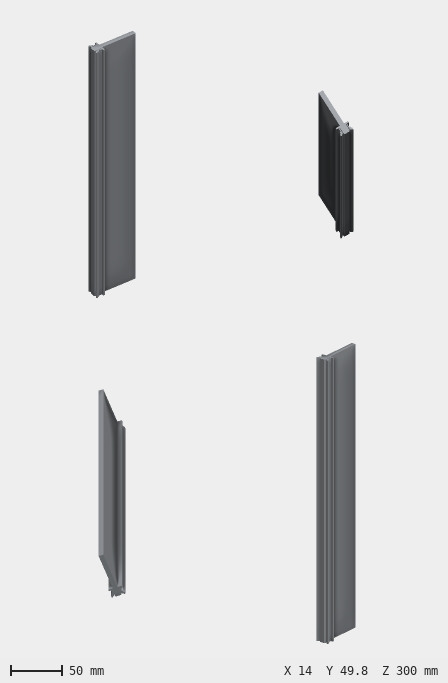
import cadquery as cq

length = 300.0
depth = 49.8
flange_width = 14.0

plate_thickness = 4.8
foot_width = 7.0
foot_chamfer = 1.0

flange_top = 10.0
flange_thickness = 1.8
flange_bottom = flange_top - flange_thickness

leg_gap = 0.45
leg_thickness = 1.0
leg_inner = foot_width / 2 + leg_gap
leg_outer = leg_inner + leg_thickness
flare_start_inner = 1.8
flare_start_outer = 4.5
step_outer = 6.0
step_top = 4.0
step_bottom = 2.5
barb_tip_height = 1.8
barb_tip_width = 1.0
barb_outer = flange_width / 2


def box(width, y_start, y_end):
    """Full-length bar centred on X, spanning y_start to y_end."""
    return cq.Workplane("XY").box(width, y_end - y_start, length, centered=(True, False, True)).translate(
        (0, y_start, 0)
    )


def flared_leg():
    """Leg on the +X side, overlapping the flange for a sound union."""
    outline = [
        (leg_inner, flange_top),
        (leg_outer, flange_top),
        (leg_outer, flare_start_outer),
        (step_outer, step_top),
        (step_outer, step_bottom),
        (barb_outer, barb_tip_height),
        (barb_outer, 0),
        (barb_outer - barb_tip_width, 0),
        (leg_inner, flare_start_inner),
    ]
    return cq.Workplane("XY").polyline(outline).close().extrude(length / 2, both=True)


plate = box(plate_thickness, 0, depth)
foot = box(foot_width, 0, flange_top).faces("<Y").edges("|Z").chamfer(foot_chamfer)
flange = box(flange_width, flange_bottom, flange_top)
leg = flared_leg()

section = plate.union(foot).union(flange).union(leg).union(leg.mirror("YZ"))

result = section.translate((0, -depth / 2, 0))